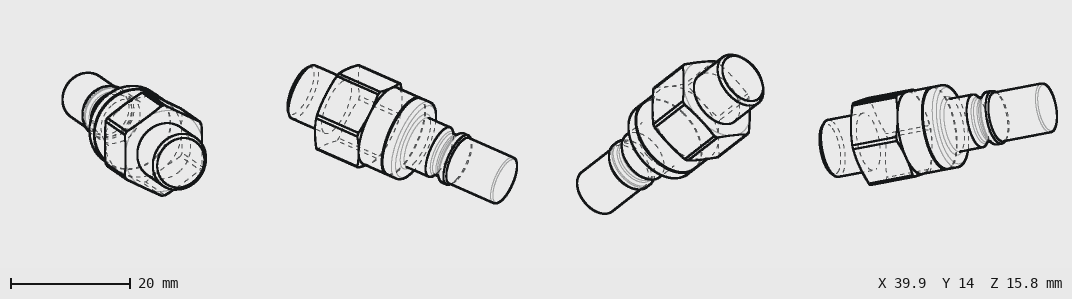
import cadquery as cq
import math

collar_start = 8.95
collar_chamfer_end = 9.3
groove_left = 10.25
groove_right = 12.75
flange_start = 17.45
seam_position = 19.8
hex_start = 24.35
hex_end = 32.88
total_length = 39.9

tip_radius = 8.35 / 2
collar_radius = 9.0 / 2
groove_radius = 7.6 / 2
flange_radius = 14.0 / 2
tail_radius = 9.75 / 2

tip_round = 0.28
neck_fillet = 0.48
flange_round = 0.5
groove_floor_fillet = 0.5
groove_edge_round = 0.3
tail_chamfer = 0.55
seam_width = 0.1
seam_depth = 0.08

hex_across_flats = 2 * flange_radius
hex_corner_radius = 15.8 / 2
hex_face_radius = 7.05
hex_chamfer_length = 0.25


def ring(x, radius, length, depth):
    """Ring cutter of the given depth at the radius, centred at x."""
    return (
        cq.Workplane("YZ", origin=(x - length / 2, 0, 0))
        .circle(radius + depth)
        .circle(radius - depth)
        .extrude(length)
    )


def turned_body():
    """Stepped shaft with a 45 degree sided groove, revolved about X."""
    bend_run = math.sin(math.pi / 4)
    bend_rise = 1 - math.cos(math.pi / 4)
    bend_tangent = math.tan(math.pi / 8)

    groove_depth = collar_radius - groove_radius
    edge_start = groove_left - groove_edge_round * bend_tangent
    edge_end = edge_start + groove_edge_round * bend_run
    edge_end_radius = collar_radius - groove_edge_round * bend_rise
    floor_start = groove_left + groove_depth + groove_floor_fillet * bend_tangent
    floor_end = groove_right - groove_depth - groove_floor_fillet * bend_tangent
    floor_bend_run = groove_floor_fillet * bend_run
    floor_bend_radius = groove_radius + groove_floor_fillet * bend_rise

    profile = (
        cq.Workplane("XY")
        .moveTo(0, 0)
        .lineTo(0, tip_radius - tip_round)
        .radiusArc((tip_round, tip_radius), tip_round)
        .lineTo(collar_start, tip_radius)
        .lineTo(collar_chamfer_end, collar_radius)
        .lineTo(edge_start, collar_radius)
        .radiusArc((edge_end, edge_end_radius), groove_edge_round)
        .lineTo(floor_start - floor_bend_run, floor_bend_radius)
        .radiusArc((floor_start, groove_radius), -groove_floor_fillet)
        .lineTo(floor_end, groove_radius)
        .radiusArc((floor_end + floor_bend_run, floor_bend_radius), -groove_floor_fillet)
        .lineTo(groove_right, collar_radius)
        .lineTo(flange_start - neck_fillet, collar_radius)
        .radiusArc((flange_start, collar_radius + neck_fillet), -neck_fillet)
        .lineTo(flange_start, flange_radius - flange_round)
        .radiusArc((flange_start + flange_round, flange_radius), flange_round)
        .lineTo(hex_end, flange_radius)
        .lineTo(hex_end, tail_radius)
        .lineTo(total_length - tail_chamfer, tail_radius)
        .lineTo(total_length, tail_radius - tail_chamfer)
        .lineTo(total_length, 0)
        .close()
    )
    return profile.revolve(360, (0, 0, 0), (1, 0, 0))


def hex_nut():
    """Hexagon with corners up and down, trimmed by a cylinder with coned ends."""
    corner_diameter = hex_across_flats / math.cos(math.pi / 6)
    prism = (
        cq.Workplane("YZ", origin=(hex_start, 0, 0))
        .transformed(rotate=(0, 0, 90))
        .polygon(6, corner_diameter)
        .extrude(hex_end - hex_start)
    )
    envelope = (
        cq.Workplane("XY")
        .moveTo(hex_start, 0)
        .lineTo(hex_start, hex_face_radius)
        .lineTo(hex_start + hex_chamfer_length, hex_corner_radius)
        .lineTo(hex_end - hex_chamfer_length, hex_corner_radius)
        .lineTo(hex_end, hex_face_radius)
        .lineTo(hex_end, 0)
        .close()
        .revolve(360, (0, 0, 0), (1, 0, 0))
    )
    return prism.intersect(envelope)


seam = ring(seam_position, flange_radius, seam_width, seam_depth)
result = turned_body().union(hex_nut()).cut(seam)